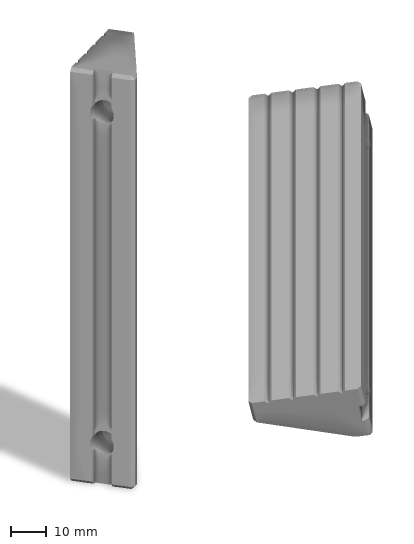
import cadquery as cq
import math

width = 19.0
depth = 32.0
height = 125.0

back_width = 7.2
side_flat = 2.5
edge_chamfer = 1.0

slot_width = 5.6
slot_depth = 2.0
slot_center_x = width / 2

hole_diameter = 7.0
hole_depth = 10.0
hole_tip_angle = 118.0
hole_tip_depth = hole_diameter / 2 / math.tan(math.radians(hole_tip_angle / 2))
hole_spacing = 100.0

groove_count = 4
groove_pitch = 7.0
groove_width = 2.0
groove_depth = 1.0


def make_body():
    """Wedge cut from a block chamfered on its X-parallel edges and around its +X face."""
    section = [
        (0, 0),
        (width, 0),
        (width, side_flat),
        (back_width, depth),
        (0, depth),
    ]
    wedge = cq.Workplane("XY").polyline(section).close().extrude(height)
    end_trim = (
        cq.Workplane("YZ")
        .rect(depth, height)
        .extrude(width)
        .edges("|X or >X")
        .chamfer(edge_chamfer)
        .translate((0, depth / 2, height / 2))
    )
    return wedge.intersect(end_trim)


def make_slot():
    """Straight slot through the full height."""
    return (
        cq.Workplane("XY")
        .center(slot_center_x, slot_depth / 2)
        .rect(slot_width, slot_depth)
        .extrude(height)
    )


def make_hole(z):
    """Blind hole along +Y from the front face, ending in a cone."""
    radius = hole_diameter / 2
    profile = [
        (0, 0),
        (radius, 0),
        (radius, hole_depth),
        (0, hole_depth + hole_tip_depth),
    ]
    hole = cq.Workplane("XY").polyline(profile).close().revolve(360, (0, 0, 0), (0, 1, 0))
    return hole.translate((slot_center_x, 0, z))


def make_groove(y):
    """V groove through the full height."""
    section = [
        (0, y - groove_width / 2),
        (groove_depth, y),
        (0, y + groove_width / 2),
    ]
    return cq.Workplane("XY").polyline(section).close().extrude(height)


result = make_body().cut(make_slot())

for side in (-1, 1):
    result = result.cut(make_hole(height / 2 + side * hole_spacing / 2))

first_groove_y = depth / 2 - (groove_count - 1) * groove_pitch / 2
for index in range(groove_count):
    result = result.cut(make_groove(first_groove_y + index * groove_pitch))